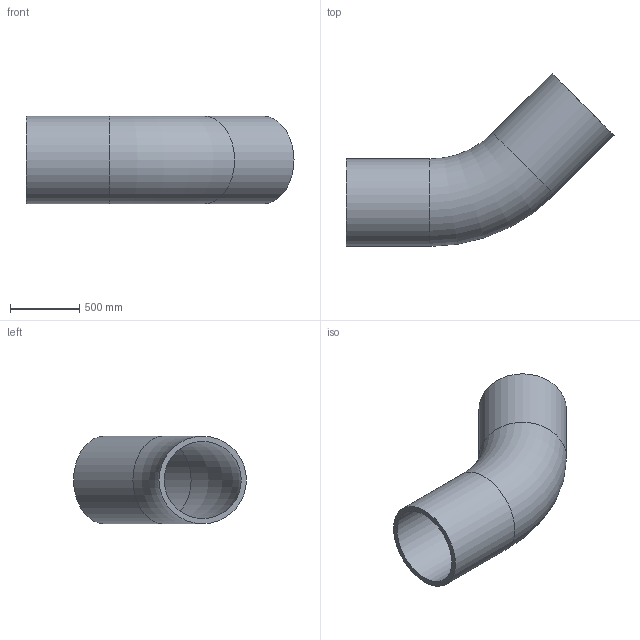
import cadquery as cq
import math

outer_diameter = 630.0
inner_diameter = 555.2
bend_angle = 45.0
bend_radius = 955.0
centre_to_face = 1000.0

tangent_length = bend_radius * math.tan(math.radians(bend_angle / 2))
leg_length = centre_to_face - tangent_length


def on_bend(angle):
    """Point on the bend axis, at an angle in degrees past the bend start."""
    turn = math.radians(angle)
    return (
        leg_length + bend_radius * math.sin(turn),
        bend_radius * (1 - math.cos(turn)),
    )


def pipe_axis():
    """Centreline from the open end at the origin, along +X, turning towards +Y."""
    bend_end = on_bend(bend_angle)
    direction = math.radians(bend_angle)
    far_end = (
        bend_end[0] + leg_length * math.cos(direction),
        bend_end[1] + leg_length * math.sin(direction),
    )
    return (
        cq.Workplane("XY")
        .lineTo(leg_length, 0)
        .threePointArc(on_bend(bend_angle / 2), bend_end)
        .lineTo(*far_end)
    )


def pipe_wall():
    """Ring cross-section swept along the centreline."""
    return (
        cq.Workplane("YZ")
        .circle(outer_diameter / 2)
        .circle(inner_diameter / 2)
        .sweep(pipe_axis())
    )


result = pipe_wall()